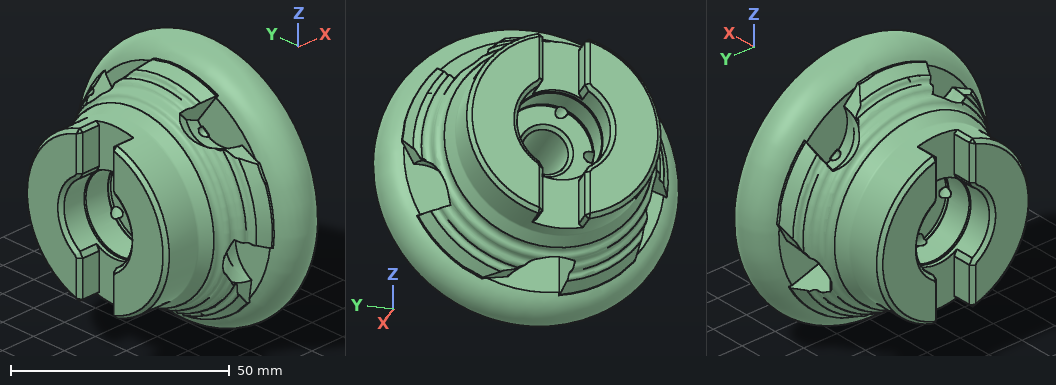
import cadquery as cq
import math

length = 40.0
rim_radius = 36.0
hub_radius = 23.05
hub_end = 10.4
hub_blend = 0.3
first_land_x = 13.6
first_land_radius = 24.85
step_rise = 1.7
first_step_start = 14.55
first_step_end = 17.15
second_step_start = 17.4
second_step_end = 20.15
cone_step_start = 20.6
cone_start = 22.4
cone_start_radius = 29.8
cone_end = 25.6
shoulder_x = 25.9
shoulder_radius = 31.7
rim_face_radius = 31.0

bore_radius = 11.1
seat_radius = 10.95
seat_start = 7.5
seat_lead = 0.4
relief_width = 0.95
bore_depth = 16.05
through_radius = 5.55
through_chamfer = 0.95

slot_width = 10.1
slot_depth = 6.35
edge_chamfer = 1.0

pocket_count = 5
pocket_spacing = 360 / pocket_count
pocket_centre_y = -2.9
scoop_radius = 9.35
entry_tilt = 41.0
run_out_tilt = 15.0
scoop_knee_x = 21.6
scoop_knee_floor = 21.2
wall_y = -5.75
wall_draft = 12.0
ledge_start_y = 2.9
ledge_end_y = 12.4
ledge_floor = 27.35
ledge_slope = 10.0
ledge_tip_y = 16.8
ledge_tip_floor = 26.85

port_radius = 1.4
port_start = 10.45
port_end = 20.5

hub_overlap = 0.7
hub_back = shoulder_x + hub_overlap
reach = 2 * rim_radius


def rounded_step(outline, start, end):
    """Hollow arc followed by a round arc, joining two levels."""
    middle = ((start[0] + end[0]) / 2, (start[1] + end[1]) / 2)
    return (
        outline.lineTo(*start)
        .tangentArcPoint(middle, relative=False)
        .tangentArcPoint(end, relative=False)
    )


def make_hub():
    second_land_radius = first_land_radius + step_rise
    third_land_radius = second_land_radius + step_rise
    cone_angle = math.atan2(first_land_radius - hub_radius, first_land_x - hub_end)
    blend_end = (
        hub_end + hub_blend * math.cos(cone_angle),
        hub_radius + hub_blend * math.sin(cone_angle),
    )
    outline = (
        cq.Workplane("XY")
        .lineTo(0, hub_radius)
        .lineTo(hub_end - hub_blend, hub_radius)
        .tangentArcPoint(blend_end, relative=False)
        .lineTo(first_land_x, first_land_radius)
    )
    outline = rounded_step(
        outline, (first_step_start, first_land_radius), (first_step_end, second_land_radius)
    )
    outline = rounded_step(
        outline, (second_step_start, second_land_radius), (second_step_end, third_land_radius)
    )
    outline = rounded_step(
        outline, (cone_step_start, third_land_radius), (cone_start, cone_start_radius)
    )
    return (
        outline.lineTo(cone_end, shoulder_radius)
        .lineTo(hub_back, shoulder_radius)
        .lineTo(hub_back, 0)
        .close()
        .revolve(360, (0, 0, 0), (1, 0, 0))
    )


def make_rim():
    """Disc with a full rounded edge."""
    rim_middle = (shoulder_x + length) / 2
    return (
        cq.Workplane("XY")
        .moveTo(shoulder_x, 0)
        .lineTo(shoulder_x, rim_face_radius)
        .threePointArc((rim_middle, rim_radius), (length, rim_face_radius))
        .lineTo(length, 0)
        .close()
        .revolve(360, (0, 0, 0), (1, 0, 0))
    )


def make_bore():
    return (
        cq.Workplane("XY")
        .lineTo(0, bore_radius)
        .lineTo(seat_start, bore_radius)
        .lineTo(seat_start + seat_lead, seat_radius)
        .lineTo(bore_depth - relief_width, seat_radius)
        .lineTo(bore_depth - relief_width, bore_radius)
        .lineTo(bore_depth, bore_radius)
        .lineTo(bore_depth, through_radius + through_chamfer)
        .lineTo(bore_depth + through_chamfer, through_radius)
        .lineTo(length, through_radius)
        .lineTo(length, 0)
        .close()
        .revolve(360, (0, 0, 0), (1, 0, 0))
    )


def cut_slot(body):
    """Cut the slot along Z, then bevel the front face and the edges of the slot walls."""
    slot = cq.Workplane("XY").box(2 * slot_depth, slot_width, reach)
    body = body.cut(slot)
    front_edges = body.faces("<X").edges()
    around_slot = cq.selectors.BoxSelector((0, -slot_width, -reach), (slot_depth, slot_width, reach))
    corner_edges = body.edges("|X").edges(around_slot)
    return front_edges.add(corner_edges).chamfer(edge_chamfer)


def make_trough(tilt_degrees):
    """Round-bottomed trough through the knee point, sinking towards the rim and open outwards."""
    tilt = math.radians(tilt_degrees)
    run = cq.Vector(math.cos(tilt), 0, math.sin(tilt))
    knee = cq.Vector(scoop_knee_x, pocket_centre_y, -scoop_knee_floor)
    section = cq.Plane(origin=knee - run * reach / 2, xDir=(0, 1, 0), normal=run)
    return (
        cq.Workplane(section)
        .moveTo(-scoop_radius, -reach)
        .lineTo(-scoop_radius, -scoop_radius)
        .threePointArc((0, 0), (scoop_radius, -scoop_radius))
        .lineTo(scoop_radius, -reach)
        .close()
        .extrude(reach)
    )


def make_ledge():
    """Flat-floored strip beside the scoop, running along X."""
    drop = (ledge_end_y - ledge_start_y) * math.tan(math.radians(ledge_slope))
    return (
        cq.Workplane("YZ")
        .polyline([
            (ledge_start_y, -ledge_floor),
            (ledge_end_y, -ledge_floor - drop),
            (ledge_tip_y, -ledge_tip_floor),
            (ledge_tip_y, -reach),
            (ledge_start_y, -reach),
        ])
        .close()
        .extrude(hub_back)
    )


def make_pocket():
    wall_shift = hub_back * math.tan(math.radians(wall_draft))
    allowed = (
        cq.Workplane("XY")
        .polyline([
            (hub_back, wall_y),
            (0, wall_y - wall_shift),
            (0, reach),
            (hub_back, reach),
        ])
        .close()
        .extrude(-reach)
    )
    scoop = make_trough(entry_tilt).intersect(make_trough(run_out_tilt))
    return scoop.union(make_ledge()).intersect(allowed)


def make_port():
    start = cq.Vector(bore_depth, pocket_centre_y, -port_start)
    run = cq.Vector(shoulder_x, pocket_centre_y, -port_end) - start
    lead = run.normalized() * (2 * port_radius)
    return cq.Workplane(cq.Solid.makeCylinder(port_radius, (run + lead).Length, start - lead, run))


def around_axis(shape):
    """Equally spaced copies of a shape about X."""
    return [
        shape.rotate((0, 0, 0), (1, 0, 0), index * pocket_spacing)
        for index in range(pocket_count)
    ]


bore = make_bore()
result = cut_slot(make_hub().cut(bore))
for pocket in around_axis(make_pocket()):
    result = result.cut(pocket)
result = result.union(make_rim().cut(bore))
for port in around_axis(make_port()):
    result = result.cut(port)